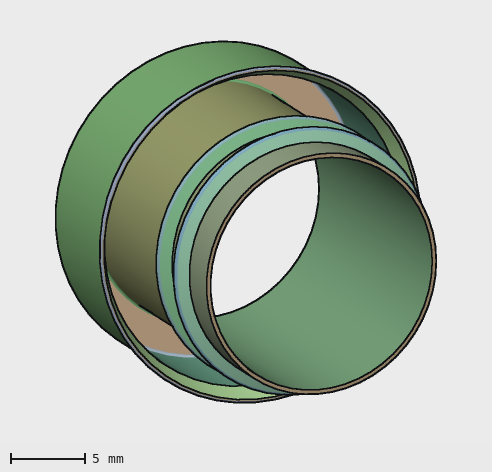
import cadquery as cq
import math

total_length = 20.2
wall = 0.3
bore_radius = 16.1 / 2
tube_radius = bore_radius + wall
skirt_radius = 22.2 / 2
skirt_inner_radius = skirt_radius - wall
outer_bend = 0.5
inner_bend = outer_bend - wall

skirt_length = 9.6
rim_radius = 11.65
rim_round = 0.15
flare_angle = math.radians(24)

ridge_center = 13.65
ridge_pitch = 3.0
ridge_count = 2
ridge_radius = 9.27
ridge_tip_round = 0.25
ridge_flank_angle = math.radians(22)

AXIS_START = (0, 0, 0)
AXIS_END = (1, 0, 0)


def arc_point(center, radius, angle):
    """Point on a circle, with the angle measured from +X."""
    return (center[0] + radius * math.cos(angle), center[1] + radius * math.sin(angle))


def revolve(profile):
    return profile.close().revolve(360, AXIS_START, AXIS_END)


def make_sleeve():
    rim_center = (skirt_length - rim_round, rim_radius - rim_round)
    rim_tangent_angle = math.pi / 2 + flare_angle
    rim_start = arc_point(rim_center, rim_round, rim_tangent_angle)
    rim_middle = arc_point(rim_center, rim_round, rim_tangent_angle / 2)
    flare_start = rim_start[0] - (rim_start[1] - skirt_radius) / math.tan(flare_angle)

    inner_flare_start = flare_start + wall * math.tan(flare_angle / 2)
    inner_flare_rise = (skirt_length - inner_flare_start) * math.tan(flare_angle)

    bore_bend_center = (outer_bend, bore_radius + outer_bend)
    skirt_bend_center = (outer_bend, skirt_radius - outer_bend)
    lower_left = math.radians(225)
    upper_left = math.radians(135)

    profile = (
        cq.Workplane("XY")
        .moveTo(total_length, bore_radius)
        .lineTo(outer_bend, bore_radius)
        .threePointArc(arc_point(bore_bend_center, outer_bend, lower_left), (0, bore_bend_center[1]))
        .lineTo(0, skirt_bend_center[1])
        .threePointArc(arc_point(skirt_bend_center, outer_bend, upper_left), (outer_bend, skirt_radius))
        .lineTo(flare_start, skirt_radius)
        .lineTo(*rim_start)
        .threePointArc(rim_middle, (skirt_length, rim_center[1]))
        .lineTo(skirt_length, skirt_inner_radius + inner_flare_rise)
        .lineTo(inner_flare_start, skirt_inner_radius)
        .lineTo(outer_bend, skirt_inner_radius)
        .threePointArc(arc_point(skirt_bend_center, inner_bend, upper_left), (wall, skirt_bend_center[1]))
        .lineTo(wall, bore_bend_center[1])
        .threePointArc(arc_point(bore_bend_center, inner_bend, lower_left), (outer_bend, tube_radius))
        .lineTo(total_length, tube_radius)
    )
    return revolve(profile)


def make_ridge(x):
    """Ring with sloping flanks and a round tip, rooted in the middle of the tube wall."""
    tip_center = (x, ridge_radius - ridge_tip_round)
    right_tip = arc_point(tip_center, ridge_tip_round, ridge_flank_angle)
    left_tip = arc_point(tip_center, ridge_tip_round, math.pi - ridge_flank_angle)
    flank_run = (right_tip[1] - tube_radius) * math.tan(ridge_flank_angle)
    root_radius = tube_radius - wall / 2
    profile = (
        cq.Workplane("XY")
        .moveTo(left_tip[0] - flank_run, root_radius)
        .lineTo(left_tip[0] - flank_run, tube_radius)
        .lineTo(*left_tip)
        .threePointArc((x, ridge_radius), right_tip)
        .lineTo(right_tip[0] + flank_run, tube_radius)
        .lineTo(right_tip[0] + flank_run, root_radius)
    )
    return revolve(profile)


result = make_sleeve()
for index in range(ridge_count):
    result = result.union(make_ridge(ridge_center + index * ridge_pitch))